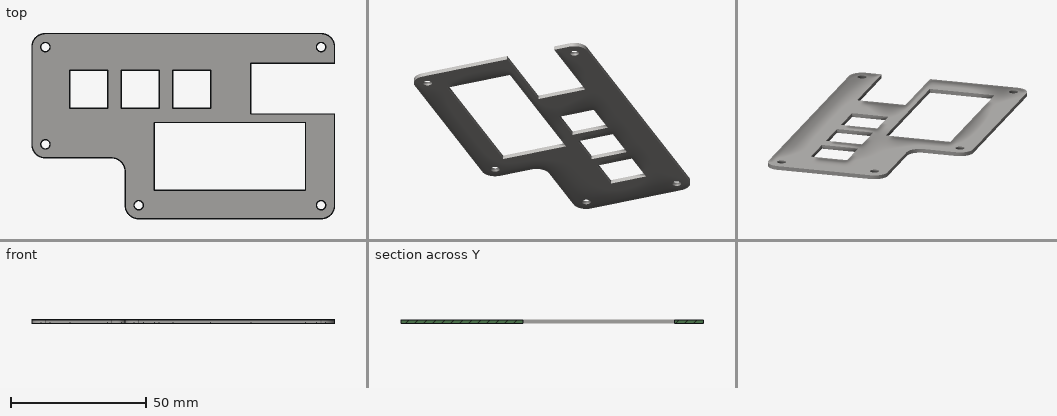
import cadquery as cq

length = 112.0
width = 68.5
thickness = 1.5
corner_radius = 5.0

step_length = 34.5
step_width = 22.5

hole_diameter = 3.4

key_size = 14.0
key_pitch = 19.0
key_count = 3
first_key_x = 21.0
key_y = 47.9

notch_depth = 31.0
notch_width = 18.7
notch_y = 48.2

window_length = 55.8
window_width = 25.0
window_x = 73.2
window_y = 23.1


def through_box(size_x, size_y, x, y):
    """Rectangular cutter through the plate, centred at (x, y)."""
    return cq.Workplane("XY").center(x, y).rect(size_x, size_y).extrude(thickness)


def make_plate():
    """Stepped plate; the notch is cut later so its corners stay sharp."""
    outline = [
        (step_length, 0),
        (length, 0),
        (length, width),
        (0, width),
        (0, step_width),
        (step_length, step_width),
    ]
    plate = cq.Workplane("XY").polyline(outline).close().extrude(thickness)
    return plate.edges("|Z").fillet(corner_radius)


def drill_mounting_holes(plate):
    inset = corner_radius
    centers = [
        (inset, width - inset),
        (length - inset, width - inset),
        (inset, step_width + inset),
        (step_length + inset, inset),
        (length - inset, inset),
    ]
    holes = cq.Workplane("XY").pushPoints(centers).circle(hole_diameter / 2).extrude(thickness)
    return plate.cut(holes)


def cut_openings(plate):
    for index in range(key_count):
        plate = plate.cut(through_box(key_size, key_size, first_key_x + index * key_pitch, key_y))
    plate = plate.cut(through_box(notch_depth, notch_width, length - notch_depth / 2, notch_y))
    return plate.cut(through_box(window_length, window_width, window_x, window_y))


result = cut_openings(drill_mounting_holes(make_plate()))